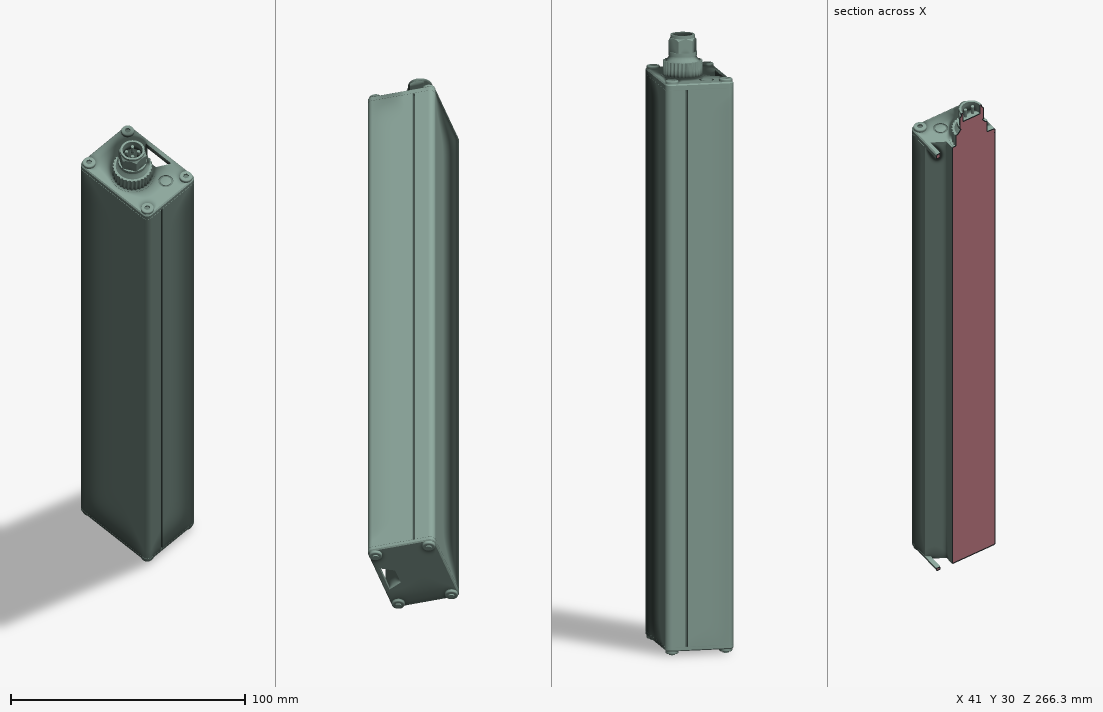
import cadquery as cq
import math

WIDTH = 41.0
DEPTH = 30.0
HEIGHT = 266.27
CORNER_RADIUS = 2.5

SCREW_HEAD_HEIGHT = 1.3
SCREW_STUB_HEIGHT = 0.6
BOTTOM_PLATE_THICKNESS = 1.7
TOP_PLATE_THICKNESS = 2.6
PLATE_CHAMFER = 0.5
CONNECTOR_HEIGHT = 17.7
PLATE_BOTTOM = SCREW_HEAD_HEIGHT + SCREW_STUB_HEIGHT
BODY_BOTTOM = PLATE_BOTTOM + BOTTOM_PLATE_THICKNESS
PLATE_TOP = HEIGHT - CONNECTOR_HEIGHT
BODY_TOP = PLATE_TOP - TOP_PLATE_THICKNESS

SEAM_DEPTH = 0.1
SEAM_HEIGHT = 0.2

SIDE_GROOVE_Y = -6.0
SIDE_GROOVE_WIDTH = 1.0
SIDE_GROOVE_DEPTH = 1.5

CHANNEL_FLOOR_Y = 6.9
CHANNEL_FLOOR_WIDTH = 8.6
WINDOW_BACK_Y = 12.9
WINDOW_BACK_WIDTH = 15.2

SCREW_X = 17.4
SCREW_Y = 11.8
SCREW_HEAD_DIAMETER = 5.6
SCREW_EDGE_RADIUS = 0.5
SCREW_SOCKET_DIAMETER = 2.6
SCREW_SOCKET_DEPTH = 0.9
SCREW_STUB_DIAMETER = 2.6

INDICATOR_X = 12.5
INDICATOR_Y = 4.5
INDICATOR_OUTER_RADIUS = 3.2
INDICATOR_INNER_RADIUS = 2.3
INDICATOR_DEPTH = 0.5

CONNECTOR_Y = -3.0
TOOTH_COUNT = 30
WASHER_RADIUS = 9.3
WASHER_THICKNESS = 0.15
NUT_RADIUS = 8.5
NUT_ROOT_RADIUS = 8.0
NUT_HEIGHT = 6.4
SHOULDER_RADIUS = 7.2
COLLAR_BOTTOM = 8.6
COLLAR_TOP = 10.3
PLUG_RADIUS = 6.1
NECK_RADIUS = 5.6
TIP_RADIUS = 5.2
TIP_HEIGHT = 1.3
TIP_BEVEL_HEIGHT = 1.0
HEX_SIDES = 6
HEX_TURN = 30.0
HEX_ACROSS_FLATS = 10.6
BORE_RADIUS = 4.3
BORE_DEPTH = 5.0
PIN_COUNT = 4
PIN_CIRCLE_RADIUS = 2.6
PIN_RADIUS = 0.7
PIN_START_ANGLE = 45.0
PIN_LENGTH = 4.0


def rounded_block(bottom, top, inset=0.0):
    """Block with the housing's rounded outline, optionally shrunk all round."""
    block = cq.Workplane("XY", origin=(0, 0, bottom))
    block = block.rect(WIDTH - 2 * inset, DEPTH - 2 * inset).extrude(top - bottom)
    return block.edges("|Z").fillet(CORNER_RADIUS - inset)


def trapezoid(back_y, bottom, top):
    """Prism between the channel floor and back_y, widening at the channel's flank slope."""
    slope = (WINDOW_BACK_WIDTH - CHANNEL_FLOOR_WIDTH) / 2 / (WINDOW_BACK_Y - CHANNEL_FLOOR_Y)
    floor_half = CHANNEL_FLOOR_WIDTH / 2
    back_half = floor_half + slope * (back_y - CHANNEL_FLOOR_Y)
    outline = [
        (-floor_half, CHANNEL_FLOOR_Y),
        (floor_half, CHANNEL_FLOOR_Y),
        (back_half, back_y),
        (-back_half, back_y),
    ]
    return cq.Workplane("XY", origin=(0, 0, bottom)).polyline(outline).close().extrude(top - bottom)


def housing():
    """Extruded body with its end plates, seams, grooves and back channel."""
    block = rounded_block(PLATE_BOTTOM, PLATE_TOP)
    block = block.faces("<Z or >Z").chamfer(PLATE_CHAMFER)
    for level in (BODY_BOTTOM, BODY_TOP):
        seam = rounded_block(level, level + SEAM_HEIGHT)
        seam = seam.cut(rounded_block(level, level + SEAM_HEIGHT, SEAM_DEPTH))
        block = block.cut(seam)
    body_height = BODY_TOP - BODY_BOTTOM
    for side in (-1, 1):
        groove = cq.Workplane("XY", origin=(side * WIDTH / 2, SIDE_GROOVE_Y, BODY_BOTTOM))
        groove = groove.rect(2 * SIDE_GROOVE_DEPTH, SIDE_GROOVE_WIDTH).extrude(body_height)
        block = block.cut(groove)
    block = block.cut(trapezoid(DEPTH / 2, BODY_BOTTOM, BODY_TOP))
    return block.cut(trapezoid(WINDOW_BACK_Y, PLATE_BOTTOM, PLATE_TOP))


def screw_head():
    """Solid screw head standing on z = 0, rounded on top."""
    head = cq.Workplane("XY").circle(SCREW_HEAD_DIAMETER / 2).extrude(SCREW_HEAD_HEIGHT)
    return head.faces(">Z").edges().fillet(SCREW_EDGE_RADIUS)


def add_screws(part):
    """Socketed heads on the top plate, heads with a central stub under the bottom plate."""
    socket = cq.Workplane("XY", origin=(0, 0, SCREW_HEAD_HEIGHT))
    socket = socket.polygon(HEX_SIDES, SCREW_SOCKET_DIAMETER).extrude(-SCREW_SOCKET_DEPTH)
    top_head = screw_head().cut(socket)
    stub = cq.Workplane("XY").circle(SCREW_STUB_DIAMETER / 2)
    stub = stub.extrude(SCREW_HEAD_HEIGHT + SCREW_STUB_HEIGHT)
    bottom_head = screw_head().union(stub).mirror("XY")
    for x in (-SCREW_X, SCREW_X):
        for y in (-SCREW_Y, SCREW_Y):
            part = part.union(top_head.translate((x, y, PLATE_TOP)))
            part = part.union(bottom_head.translate((x, y, PLATE_BOTTOM)))
    return part


def cut_indicator(part):
    """Shallow ring groove around the indicator in the top plate."""
    ring = cq.Workplane("XY", origin=(INDICATOR_X, INDICATOR_Y, PLATE_TOP))
    ring = ring.circle(INDICATOR_OUTER_RADIUS).circle(INDICATOR_INNER_RADIUS)
    return part.cut(ring.extrude(-INDICATOR_DEPTH))


def knurled_nut():
    """Nut whose rim swings smoothly between its tooth tips and roots."""
    points = []
    for step in range(2 * TOOTH_COUNT):
        radius = NUT_RADIUS if step % 2 == 0 else NUT_ROOT_RADIUS
        angle = math.pi * step / TOOTH_COUNT
        points.append((radius * math.cos(angle), radius * math.sin(angle)))
    return cq.Workplane("XY").spline(points, periodic=True).close().extrude(NUT_HEIGHT)


def connector():
    """Plug connector with a hexagonal upper part, on a knurled nut and washer at z = 0."""
    profile = [
        (0, 0),
        (SHOULDER_RADIUS, 0),
        (SHOULDER_RADIUS, NUT_HEIGHT),
        (NECK_RADIUS, COLLAR_BOTTOM),
        (PLUG_RADIUS, COLLAR_BOTTOM),
        (PLUG_RADIUS, CONNECTOR_HEIGHT - TIP_HEIGHT - TIP_BEVEL_HEIGHT),
        (TIP_RADIUS, CONNECTOR_HEIGHT - TIP_HEIGHT),
        (TIP_RADIUS, CONNECTOR_HEIGHT),
        (0, CONNECTOR_HEIGHT),
    ]
    plug = cq.Workplane("XZ").polyline(profile).close().revolve(360, (0, 0, 0), (0, 1, 0))
    hex_height = CONNECTOR_HEIGHT - COLLAR_TOP
    hex_across_corners = HEX_ACROSS_FLATS / math.cos(math.pi / HEX_SIDES)
    outside_hex = cq.Workplane("XY", origin=(0, 0, COLLAR_TOP)).circle(2 * PLUG_RADIUS)
    outside_hex = outside_hex.extrude(hex_height)
    hexagon = cq.Workplane("XY", origin=(0, 0, COLLAR_TOP)).polygon(HEX_SIDES, hex_across_corners)
    hexagon = hexagon.extrude(hex_height).rotate((0, 0, 0), (0, 0, 1), HEX_TURN)
    plug = plug.cut(outside_hex.cut(hexagon))
    plug = plug.union(knurled_nut())
    plug = plug.union(cq.Workplane("XY").circle(WASHER_RADIUS).extrude(WASHER_THICKNESS))
    bore_floor = cq.Workplane("XY", origin=(0, 0, CONNECTOR_HEIGHT - BORE_DEPTH))
    plug = plug.cut(bore_floor.circle(BORE_RADIUS).extrude(BORE_DEPTH))
    pins = bore_floor.polarArray(PIN_CIRCLE_RADIUS, PIN_START_ANGLE, 360, PIN_COUNT)
    pins = pins.circle(PIN_RADIUS).extrude(PIN_LENGTH)
    return plug.union(pins)


result = add_screws(housing())
result = cut_indicator(result)
result = result.union(connector().translate((0, CONNECTOR_Y, PLATE_TOP)))